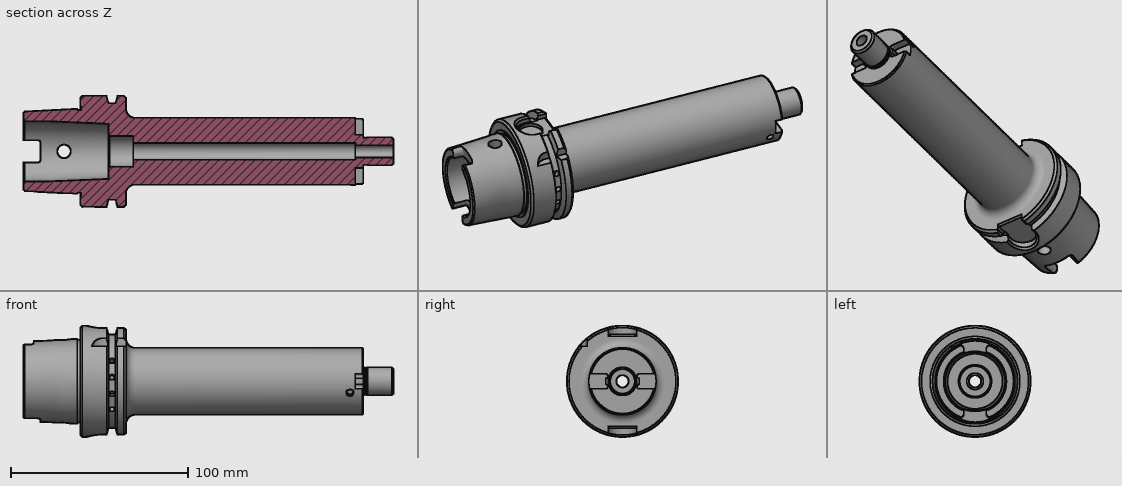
import cadquery as cq


SHANK_LENGTH = 32.0
SHANK_BASE_RADIUS = 24.1
TAPER = 0.048
SHANK_TIP_RADIUS = SHANK_BASE_RADIUS - TAPER * SHANK_LENGTH
SHANK_TIP_CHAMFER = 0.8
RELIEF_WIDTH = 1.5
RELIEF_DEPTH = 0.6
FACE_RECESS_RADIUS = 25.4
FACE_RECESS_DEPTH = 0.4

FLANGE_RADIUS = 31.5
FLANGE_WIDTH = 26.0
FLANGE_CHAMFER = 1.3
GROOVE_CENTRE = 18.0
GROOVE_BOTTOM_RADIUS = 27.5
GROOVE_BOTTOM_WIDTH = 3.8
GROOVE_MOUTH_WIDTH = 6.2

DRIVE_SLOT_WIDTH = 16.0
DRIVE_SLOT_CENTRE = 12.8
DRIVE_SLOT_FLOOR = 26.5
DRIVE_SLOT_CHAMFER = 1.2
FLOOR_END_CHAMFER = 1.0
RECESS_RADIUS = 6.9
RECESS_DEPTH = 2.0

NOTCH_OFFSET = 19.9
NOTCH_RADIUS = 7.0
NOTCH_CENTRE = 13.2

BALANCE_HOLE_DIAMETER = 3.0
BALANCE_HOLE_DEPTH = 6.0
BALANCE_HOLE_COUNT = 4
BALANCE_HOLE_FIRST = 25.0
BALANCE_HOLE_STEP = -20.0

TIP_SLOT_WIDTH = 12.5
TOP_SLOT_DEPTH = 5.8
BOTTOM_SLOT_DEPTH = 9.5
TIP_SLOT_FLOOR_FILLET = 1.4
TIP_SLOT_FLARE = 3.3
TIP_SLOT_FLARE_HEIGHT = 21.0

BORE_RADIUS = 17.0
BORE_CHAMFER = 0.8
BORE_STRAIGHT_LENGTH = 12.3
BORE_FLOOR_RADIUS = 15.5
BORE_DEPTH = 48.0
THREAD_RADIUS = 8.6
THREAD_DEPTH = 14.0
THREAD_CHAMFER = 0.8
COOLANT_RADIUS = 4.7
SCREW_RADIUS = 3.4
SIDE_HOLE_DIAMETER = 7.5
SIDE_HOLE_X = -9.1

BODY_RADIUS = 19.0
BODY_END = 160.0
BODY_CHAMFER = 0.8
NECK_FILLET = 5.0
PILOT_RADIUS = 8.0
PILOT_LENGTH = 17.0
PILOT_CHAMFER = 1.1
UNDERCUT_DEPTH = 0.3
UNDERCUT_WIDTH = 2.4
UNDERCUT_RAMP = UNDERCUT_WIDTH / 3

KEY_SLOT_WIDTH = 8.5
KEY_SLOT_DEPTH = 4.6
KEY_SLOT_FLOOR = 9.5
KEY_RELIEF_RADIUS = 1.3
JET_HOLE_DIAMETER = 4.0
JET_HOLE_DEPTH = 3.0
JET_HOLE_FROM_END = 7.6
JET_HOLE_ANGLE = 20.0

CLEARANCE = 1.0

SHANK_START = -SHANK_LENGTH
BORE_FLOOR = SHANK_START + BORE_DEPTH
PILOT_END = BODY_END + PILOT_LENGTH


def revolve_x(points):
    """Solid of revolution about X from (x, radius) points."""
    return cq.Workplane("XY").polyline(points).close().revolve(360, (0, 0, 0), (1, 0, 0))


def x_cylinder(radius, start, end):
    """Solid cylinder on the X axis between two axial positions."""
    return cq.Workplane("YZ").workplane(offset=start).circle(radius).extrude(end - start)


def drive_slot_cutter():
    """Round-ended slot on the +Z side, open to +X."""
    radius = DRIVE_SLOT_WIDTH / 2
    run_out = FLANGE_WIDTH + CLEARANCE
    return (
        cq.Workplane("XY")
        .workplane(offset=DRIVE_SLOT_FLOOR)
        .moveTo(run_out, -radius)
        .lineTo(DRIVE_SLOT_CENTRE, -radius)
        .threePointArc((DRIVE_SLOT_CENTRE - radius, 0), (DRIVE_SLOT_CENTRE, radius))
        .lineTo(run_out, radius)
        .close()
        .extrude(FLANGE_RADIUS)
    )


def slotted_flange():
    """Flange disc with two opposite drive slots whose rims are chamfered."""
    flange = x_cylinder(FLANGE_RADIUS, 0, FLANGE_WIDTH)
    slot = drive_slot_cutter()
    half_width = DRIVE_SLOT_WIDTH / 2 + DRIVE_SLOT_CHAMFER
    rim_height = (DRIVE_SLOT_FLOOR + FLANGE_RADIUS) / 2
    for side in (1, -1):
        flange = flange.cut(slot if side > 0 else slot.mirror("XY"))
        rim = cq.selectors.BoxSelector(
            (0, -half_width, side * rim_height),
            (FLANGE_WIDTH - CLEARANCE, half_width, side * (FLANGE_RADIUS + CLEARANCE)),
        )
        flange = flange.edges(rim).chamfer(DRIVE_SLOT_CHAMFER)
    for side in (1, -1):
        floor_end = cq.selectors.NearestToPointSelector((FLANGE_WIDTH, 0, side * DRIVE_SLOT_FLOOR))
        flange = flange.edges(floor_end).chamfer(FLOOR_END_CHAMFER)
    rim_radius = FLANGE_RADIUS - FLANGE_CHAMFER
    rims = revolve_x([
        (0, 0),
        (0, rim_radius),
        (FLANGE_CHAMFER, FLANGE_RADIUS),
        (FLANGE_WIDTH - FLANGE_CHAMFER, FLANGE_RADIUS),
        (FLANGE_WIDTH, rim_radius),
        (FLANGE_WIDTH, 0),
    ])
    return flange.intersect(rims)


def gripper_groove():
    """Ring with flared flanks that cuts the gripper groove."""
    half_bottom = GROOVE_BOTTOM_WIDTH / 2
    half_mouth = GROOVE_MOUTH_WIDTH / 2
    outer = FLANGE_RADIUS + CLEARANCE
    return revolve_x([
        (GROOVE_CENTRE - half_bottom, GROOVE_BOTTOM_RADIUS),
        (GROOVE_CENTRE - half_mouth, FLANGE_RADIUS),
        (GROOVE_CENTRE - half_mouth, outer),
        (GROOVE_CENTRE + half_mouth, outer),
        (GROOVE_CENTRE + half_mouth, FLANGE_RADIUS),
        (GROOVE_CENTRE + half_bottom, GROOVE_BOTTOM_RADIUS),
    ])


def orientation_notch():
    """Milled corner notch on the -Y +Z side, open to +X, with a rounded run-in."""
    run_out = FLANGE_WIDTH + CLEARANCE
    outer = -FLANGE_RADIUS
    cutter_y = -NOTCH_OFFSET - NOTCH_RADIUS
    return (
        cq.Workplane("XY")
        .workplane(offset=NOTCH_OFFSET)
        .moveTo(run_out, -NOTCH_OFFSET)
        .lineTo(NOTCH_CENTRE, -NOTCH_OFFSET)
        .radiusArc((NOTCH_CENTRE - NOTCH_RADIUS, cutter_y), -NOTCH_RADIUS)
        .lineTo(NOTCH_CENTRE - NOTCH_RADIUS, outer)
        .lineTo(run_out, outer)
        .close()
        .extrude(FLANGE_RADIUS)
    )


def radial_hole(x, surface_radius, angle, diameter, depth):
    """Blind radial hole; the angle turns from -Y towards +Z."""
    hole = (
        cq.Workplane("XZ", origin=(x, 0, 0))
        .workplane(offset=surface_radius - depth)
        .circle(diameter / 2)
        .extrude(depth + CLEARANCE)
    )
    return hole.rotate((0, 0, 0), (1, 0, 0), -angle)


def slot_floor_recess():
    """Shallow round recess in the floor of the +Z drive slot."""
    return (
        cq.Workplane("XY", origin=(DRIVE_SLOT_CENTRE, 0, DRIVE_SLOT_FLOOR - RECESS_DEPTH))
        .circle(RECESS_RADIUS)
        .extrude(RECESS_DEPTH)
    )


def make_flange():
    """Flange with its groove, slots, notch, balancing holes and face recess."""
    flange = slotted_flange().cut(gripper_groove()).cut(orientation_notch())
    for index in range(BALANCE_HOLE_COUNT):
        angle = BALANCE_HOLE_FIRST + index * BALANCE_HOLE_STEP
        flange = flange.cut(radial_hole(
            GROOVE_CENTRE, GROOVE_BOTTOM_RADIUS, angle, BALANCE_HOLE_DIAMETER, BALANCE_HOLE_DEPTH
        ))
    face_recess = x_cylinder(FACE_RECESS_RADIUS, 0, FACE_RECESS_DEPTH)
    return flange.cut(face_recess).cut(slot_floor_recess())


def tip_slot_cutter(depth):
    """Slot through the +Z wall of the shank tip, flared where it leaves the wall."""
    half_width = TIP_SLOT_WIDTH / 2
    half_mouth = half_width + TIP_SLOT_FLARE
    flare_start = TIP_SLOT_FLARE_HEIGHT - TIP_SLOT_FLARE
    slot = (
        cq.Workplane("YZ")
        .workplane(offset=SHANK_START - CLEARANCE)
        .moveTo(-half_width, 0)
        .lineTo(half_width, 0)
        .lineTo(half_width, flare_start)
        .radiusArc((half_mouth, TIP_SLOT_FLARE_HEIGHT), TIP_SLOT_FLARE)
        .lineTo(half_mouth, SHANK_BASE_RADIUS)
        .lineTo(-half_mouth, SHANK_BASE_RADIUS)
        .lineTo(-half_mouth, TIP_SLOT_FLARE_HEIGHT)
        .radiusArc((-half_width, flare_start), TIP_SLOT_FLARE)
        .close()
        .extrude(depth + CLEARANCE)
    )
    floor_edges = slot.faces(">X").edges("not |Y")
    return floor_edges.fillet(TIP_SLOT_FLOOR_FILLET)


def make_shank():
    """Solid tapered shank with a chamfered tip and a relief at its root."""
    relief_start = -RELIEF_WIDTH
    relief_radius = SHANK_BASE_RADIUS - RELIEF_DEPTH
    return revolve_x([
        (SHANK_START, 0),
        (SHANK_START, SHANK_TIP_RADIUS - SHANK_TIP_CHAMFER),
        (SHANK_START + SHANK_TIP_CHAMFER, SHANK_TIP_RADIUS),
        (relief_start, SHANK_BASE_RADIUS),
        (relief_start, relief_radius),
        (FACE_RECESS_DEPTH, relief_radius),
        (FACE_RECESS_DEPTH, 0),
    ])


def make_body():
    """Plain arbor body that blends into the flange and ends in the cutter pilot."""
    neck_radius = BODY_RADIUS + NECK_FILLET
    neck_end = FLANGE_WIDTH + NECK_FILLET
    undercut_end = BODY_END + UNDERCUT_WIDTH
    undercut_radius = PILOT_RADIUS - UNDERCUT_DEPTH
    profile = (
        cq.Workplane("XY")
        .moveTo(FLANGE_WIDTH, 0)
        .lineTo(FLANGE_WIDTH, neck_radius)
        .radiusArc((neck_end, BODY_RADIUS), -NECK_FILLET)
        .lineTo(BODY_END - BODY_CHAMFER, BODY_RADIUS)
        .lineTo(BODY_END, BODY_RADIUS - BODY_CHAMFER)
        .lineTo(BODY_END, PILOT_RADIUS)
        .lineTo(BODY_END + UNDERCUT_RAMP, undercut_radius)
        .lineTo(undercut_end - UNDERCUT_RAMP, undercut_radius)
        .lineTo(undercut_end, PILOT_RADIUS)
        .lineTo(PILOT_END - PILOT_CHAMFER, PILOT_RADIUS)
        .lineTo(PILOT_END, PILOT_RADIUS - PILOT_CHAMFER)
        .lineTo(PILOT_END, 0)
        .close()
    )
    return profile.revolve(360, (0, 0, 0), (1, 0, 0))


def key_slot():
    """Driver slot on the -Y side of the body end, with relief grooves in its inner corners."""
    start = BODY_END - KEY_SLOT_DEPTH
    relief_offset = KEY_SLOT_WIDTH / 2 - KEY_RELIEF_RADIUS
    slot = cq.Workplane("XY", origin=(start, 0, 0)).box(
        KEY_SLOT_DEPTH,
        BODY_RADIUS,
        KEY_SLOT_WIDTH,
        centered=(False, False, True),
    ).translate((0, -KEY_SLOT_FLOOR - BODY_RADIUS, 0))
    reliefs = (
        cq.Workplane("YZ", origin=(start, 0, 0))
        .pushPoints([(-KEY_SLOT_FLOOR, -relief_offset), (-KEY_SLOT_FLOOR, relief_offset)])
        .circle(KEY_RELIEF_RADIUS)
        .extrude(KEY_SLOT_DEPTH)
    )
    return slot.union(reliefs)


def inner_bores():
    """Clamping bore, coolant-tube thread bore and through hole as one cutter."""
    straight_end = SHANK_START + BORE_STRAIGHT_LENGTH
    thread_end = BORE_FLOOR + THREAD_DEPTH
    coolant_end = BODY_END - KEY_SLOT_DEPTH
    return revolve_x([
        (SHANK_START, 0),
        (SHANK_START, BORE_RADIUS + BORE_CHAMFER),
        (SHANK_START + BORE_CHAMFER, BORE_RADIUS),
        (straight_end, BORE_RADIUS),
        (BORE_FLOOR, BORE_FLOOR_RADIUS),
        (BORE_FLOOR, THREAD_RADIUS + THREAD_CHAMFER),
        (BORE_FLOOR + THREAD_CHAMFER, THREAD_RADIUS),
        (thread_end, THREAD_RADIUS),
        (thread_end, COOLANT_RADIUS),
        (coolant_end, COOLANT_RADIUS),
        (coolant_end, SCREW_RADIUS),
        (PILOT_END, SCREW_RADIUS),
        (PILOT_END, 0),
    ])


def side_hole():
    """Hole through both shank walls along Z."""
    return (
        cq.Workplane("XY", origin=(SIDE_HOLE_X, 0, 0))
        .circle(SIDE_HOLE_DIAMETER / 2)
        .extrude(SHANK_BASE_RADIUS, both=True)
    )


result = make_shank().union(make_flange()).union(make_body())
result = result.cut(inner_bores()).cut(side_hole())
result = result.cut(tip_slot_cutter(TOP_SLOT_DEPTH))
result = result.cut(tip_slot_cutter(BOTTOM_SLOT_DEPTH).rotate((0, 0, 0), (1, 0, 0), 180))
for half_turn in (0, 180):
    result = result.cut(key_slot().rotate((0, 0, 0), (1, 0, 0), half_turn))
    result = result.cut(radial_hole(
        BODY_END - JET_HOLE_FROM_END,
        BODY_RADIUS,
        half_turn - JET_HOLE_ANGLE,
        JET_HOLE_DIAMETER,
        JET_HOLE_DEPTH,
    ))